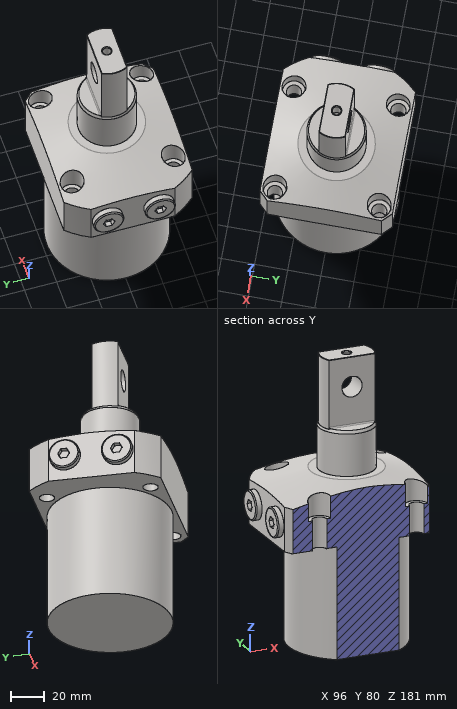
import cadquery as cq
import math

TOTAL_HEIGHT = 181.0
FLANGE_BOTTOM = 71.3
FLANGE_TOP = 109.0
SHOULDER_TOP = 137.7

BARREL_DIAMETER = 75.0
FLANGE_WIDTH = 80.0
FLANGE_REACH_FRONT = 52.0
FLANGE_REACH_BACK = FLANGE_WIDTH / 2
FLANGE_CORNER_RADIUS = 58.1
FLANGE_CHAMFER = 5.5
CROWN_DIAMETER = 46.0
CROWN_SLOPE = math.radians(15)
CROWN_RIM_CLEARANCE = 1.8

BOLT_PITCH = 63.0
BOLT_DIAMETER = 9.0
COUNTERBORE_DIAMETER = 14.1
COUNTERBORE_FLOOR = 90.5

ROD_DIAMETER = 35.3
BLADE_DIAMETER = 33.8
TAPER_BOTTOM = 135.8
SHOULDER_DIAMETER = 33.3
BLADE_THICKNESS = 16.0
BLADE_FOOT_RADIUS = 0.7
BLADE_TOP_CHAMFER = 0.27
CROSS_HOLE_DIAMETER = 13.0
CROSS_HOLE_HEIGHT = TOTAL_HEIGHT - 19.0
TOP_HOLE_DIAMETER = 5.0
TOP_HOLE_CHAMFER = 0.5

PLUG_PITCH = 32.0
PLUG_HEIGHT = 87.0
PLUG_DIAMETER = 18.6
PLUG_THICKNESS = 4.0
PLUG_CHAMFER = 0.7
SOCKET_ACROSS_FLATS = 6.2
SOCKET_DEPTH = 3.3


def flange_prism():
    """Flange outline with round corners at the port face and chamfers at the back."""
    side = FLANGE_WIDTH / 2
    arc_side_x = math.sqrt(FLANGE_CORNER_RADIUS**2 - side**2)
    arc_front_y = math.sqrt(FLANGE_CORNER_RADIUS**2 - FLANGE_REACH_FRONT**2)
    middle_angle = (math.atan2(side, arc_side_x) + math.atan2(arc_front_y, FLANGE_REACH_FRONT)) / 2
    middle_x = FLANGE_CORNER_RADIUS * math.cos(middle_angle)
    middle_y = FLANGE_CORNER_RADIUS * math.sin(middle_angle)
    return (
        cq.Workplane("XY", origin=(0, 0, FLANGE_BOTTOM))
        .moveTo(-FLANGE_REACH_FRONT, -arc_front_y)
        .threePointArc((-middle_x, -middle_y), (-arc_side_x, -side))
        .lineTo(FLANGE_REACH_BACK - FLANGE_CHAMFER, -side)
        .lineTo(FLANGE_REACH_BACK, -side + FLANGE_CHAMFER)
        .lineTo(FLANGE_REACH_BACK, side - FLANGE_CHAMFER)
        .lineTo(FLANGE_REACH_BACK - FLANGE_CHAMFER, side)
        .lineTo(-arc_side_x, side)
        .threePointArc((-middle_x, middle_y), (-FLANGE_REACH_FRONT, arc_front_y))
        .close()
        .extrude(FLANGE_TOP - FLANGE_BOTTOM)
    )


def crown_envelope():
    """Solid of revolution whose conical top gives the flange its sloping crown."""
    crown_radius = CROWN_DIAMETER / 2
    rim_radius = FLANGE_CORNER_RADIUS + CROWN_RIM_CLEARANCE
    rim_height = FLANGE_TOP - (rim_radius - crown_radius) * math.tan(CROWN_SLOPE)
    return (
        cq.Workplane("XZ")
        .moveTo(0, FLANGE_BOTTOM)
        .lineTo(rim_radius, FLANGE_BOTTOM)
        .lineTo(rim_radius, rim_height)
        .lineTo(crown_radius, FLANGE_TOP)
        .lineTo(0, FLANGE_TOP)
        .close()
        .revolve(360, (0, 0, 0), (0, 1, 0))
    )


def mounting_holes():
    """Four through holes, counterbored from the top."""
    bolts = (
        cq.Workplane("XY", origin=(0, 0, FLANGE_BOTTOM))
        .rect(BOLT_PITCH, BOLT_PITCH, forConstruction=True)
        .vertices()
        .circle(BOLT_DIAMETER / 2)
        .extrude(FLANGE_TOP - FLANGE_BOTTOM)
    )
    counterbores = (
        cq.Workplane("XY", origin=(0, 0, COUNTERBORE_FLOOR))
        .rect(BOLT_PITCH, BOLT_PITCH, forConstruction=True)
        .vertices()
        .circle(COUNTERBORE_DIAMETER / 2)
        .extrude(FLANGE_TOP - COUNTERBORE_FLOOR)
    )
    return bolts.union(counterbores)


def make_housing():
    flange = flange_prism().intersect(crown_envelope()).cut(mounting_holes())
    barrel = cq.Workplane("XY").circle(BARREL_DIAMETER / 2).extrude(FLANGE_BOTTOM)
    return barrel.union(flange)


def rod_stem():
    """Round rod standing on the crown, tapered below its shoulder."""
    rod_radius = ROD_DIAMETER / 2
    return (
        cq.Workplane("XZ")
        .moveTo(0, FLANGE_TOP)
        .lineTo(rod_radius, FLANGE_TOP)
        .lineTo(rod_radius, TAPER_BOTTOM)
        .lineTo(SHOULDER_DIAMETER / 2, SHOULDER_TOP)
        .lineTo(0, SHOULDER_TOP)
        .close()
        .revolve(360, (0, 0, 0), (0, 1, 0))
    )


def rod_blade():
    """Round bar flattened on both Y sides; its round sides run down into the taper of the stem."""
    flat = BLADE_THICKNESS / 2
    foot = BLADE_FOOT_RADIUS
    bar = (
        cq.Workplane("XY", origin=(0, 0, TAPER_BOTTOM))
        .circle(BLADE_DIAMETER / 2)
        .extrude(TOTAL_HEIGHT - TAPER_BOTTOM)
    )
    flattened_section = (
        cq.Workplane("YZ")
        .moveTo(-flat, TAPER_BOTTOM)
        .lineTo(flat, TAPER_BOTTOM)
        .lineTo(flat, SHOULDER_TOP)
        .lineTo(flat + foot, SHOULDER_TOP)
        .radiusArc((flat, SHOULDER_TOP + foot), foot)
        .lineTo(flat, TOTAL_HEIGHT)
        .lineTo(-flat, TOTAL_HEIGHT)
        .lineTo(-flat, SHOULDER_TOP + foot)
        .radiusArc((-flat - foot, SHOULDER_TOP), foot)
        .lineTo(-flat, SHOULDER_TOP)
        .close()
        .extrude(BLADE_DIAMETER / 2, both=True)
    )
    return bar.intersect(flattened_section).faces(">Z").chamfer(BLADE_TOP_CHAMFER)


def make_rod():
    cross_hole = (
        cq.Workplane("XZ", origin=(0, 0, CROSS_HOLE_HEIGHT))
        .circle(CROSS_HOLE_DIAMETER / 2)
        .extrude(BLADE_THICKNESS / 2, both=True)
    )
    top_hole = (
        cq.Workplane("XY", origin=(0, 0, CROSS_HOLE_HEIGHT))
        .circle(TOP_HOLE_DIAMETER / 2)
        .extrude(TOTAL_HEIGHT - CROSS_HOLE_HEIGHT)
        .faces(">Z")
        .workplane()
        .circle(TOP_HOLE_DIAMETER / 2 + TOP_HOLE_CHAMFER)
        .extrude(-TOP_HOLE_CHAMFER, taper=45)
    )
    return rod_stem().union(rod_blade()).cut(cross_hole).cut(top_hole)


def make_plug(y):
    """Round plug seated on the port face, with a hexagon socket in its outer end."""
    socket_across_corners = SOCKET_ACROSS_FLATS / math.cos(math.pi / 6)
    return (
        cq.Workplane("YZ", origin=(-FLANGE_REACH_FRONT, y, PLUG_HEIGHT))
        .circle(PLUG_DIAMETER / 2)
        .extrude(-PLUG_THICKNESS)
        .faces("<X")
        .chamfer(PLUG_CHAMFER)
        .faces("<X")
        .workplane()
        .polygon(6, socket_across_corners)
        .cutBlind(-SOCKET_DEPTH)
    )


housing = make_housing()
rod = make_rod()
plugs = [make_plug(side * PLUG_PITCH / 2) for side in (-1, 1)]

result = cq.Compound.makeCompound([housing.val(), rod.val(), *[plug.val() for plug in plugs]])